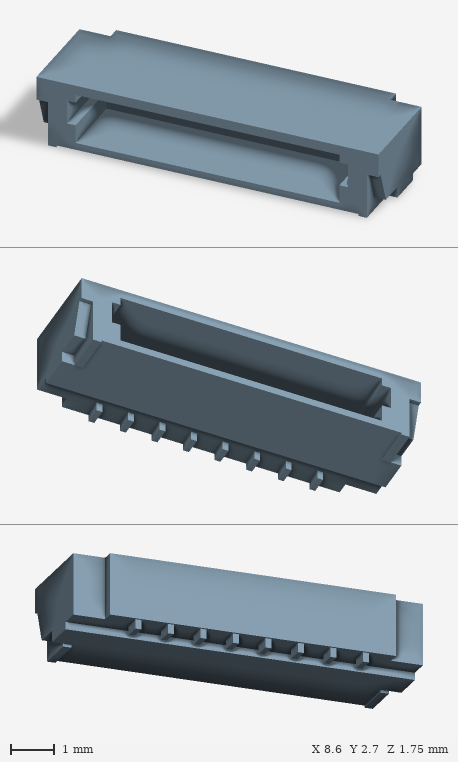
import cadquery as cq

length = 8.6
depth = 2.7
height = 1.75

underside_z = 0.05
rear_underside_z = 0.23
rear_step_y = 1.9
rear_corner_length = 0.78
rear_corner_y = 2.39

cavity_length = 6.63
cavity_bottom_z = 0.23
cavity_top_z = 1.505
cavity_depth = 1.72
key_length = 7.07
key_bottom_z = 0.7
key_top_z = 1.3

recess_width = 0.29
recess_roof_z = 1.14
recess_roof_y = 0.12
recess_ledge_z = 0.335
recess_ledge_y = 0.4
recess_end_y = 1.05

foot_width = 0.21
foot_depth = 1.01
terminal_count = 8
terminal_pitch = 0.8
terminal_width = 0.15
terminal_front_y = 2.22
terminal_back_y = 2.65


def box(x_center, width, y_start, y_end, z_bottom, z_top):
    """Box centered on x_center, spanning the given Y and Z limits."""
    return cq.Workplane("XY").box(
        width, y_end - y_start, z_top - z_bottom, centered=(True, False, False)
    ).translate((x_center, y_start, z_bottom))


def make_housing():
    """Block with a raised rear underside and cut-away rear corners."""
    housing = box(0, length, 0, depth, underside_z, height)
    housing = housing.cut(box(0, length, rear_step_y, depth, underside_z, rear_underside_z))
    for side in (-1, 1):
        corner_x = side * (length - rear_corner_length) / 2
        housing = housing.cut(box(corner_x, rear_corner_length, rear_corner_y, depth, 0, height))
    return housing


def make_cavity():
    """Front opening widened by a polarizing slot at each end."""
    opening = box(0, cavity_length, 0, cavity_depth, cavity_bottom_z, cavity_top_z)
    key_slots = box(0, key_length, 0, cavity_depth, key_bottom_z, key_top_z)
    return opening.union(key_slots)


def make_recess(x_start):
    """Side recess, open to the front and below, starting at x_start."""
    return (
        cq.Workplane("YZ", origin=(x_start, 0, 0))
        .moveTo(0, 0)
        .lineTo(0, recess_roof_z)
        .lineTo(recess_roof_y, recess_roof_z)
        .lineTo(recess_ledge_y, recess_ledge_z)
        .lineTo(recess_end_y, recess_ledge_z)
        .lineTo(recess_end_y, 0)
        .close()
        .extrude(recess_width)
    )


result = make_housing().cut(make_cavity())

for recess_x in (-length / 2, length / 2 - recess_width):
    result = result.cut(make_recess(recess_x))

foot_x = length / 2 - recess_width - foot_width / 2
for side in (-1, 1):
    gap = box(side * foot_x, foot_width, foot_depth, recess_end_y, 0, recess_ledge_z)
    foot = box(side * foot_x, foot_width, 0, foot_depth, 0, recess_ledge_z)
    result = result.cut(gap).union(foot)

for index in range(terminal_count):
    terminal_x = (index - (terminal_count - 1) / 2) * terminal_pitch
    result = result.union(
        box(terminal_x, terminal_width, terminal_front_y, terminal_back_y, 0, rear_underside_z)
    )